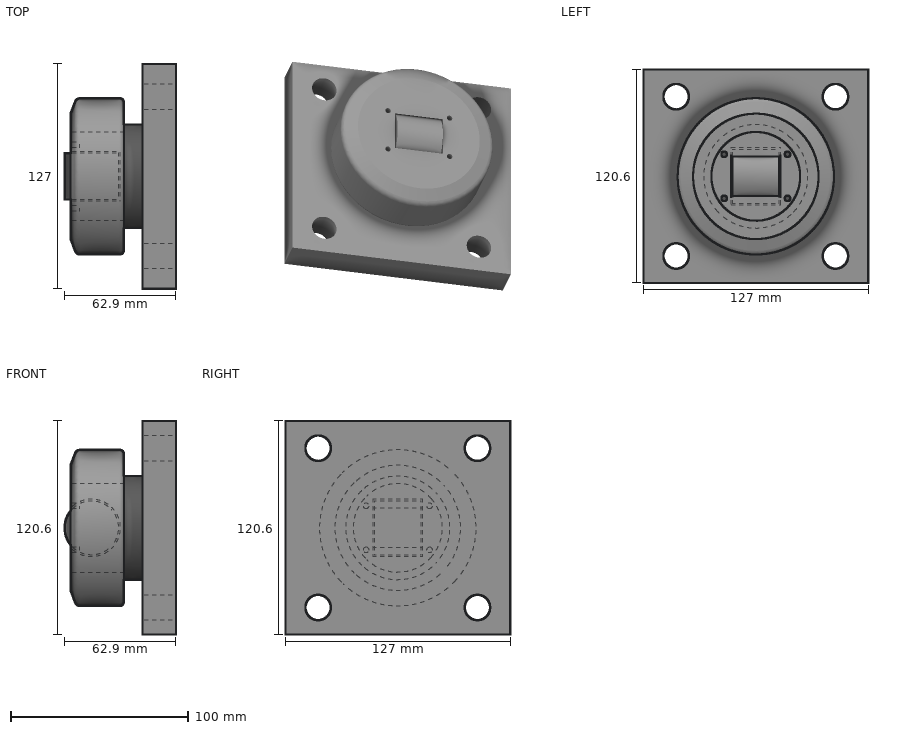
import cadquery as cq
import math

plate_thickness = 19.0
plate_width = 127.0
plate_height = 120.6
bolt_spacing = 89.9
bolt_hole_diameter = 14.2

stub_length = 10.4
stub_diameter = 58.7

wheel_diameter = 88.3
wheel_width = 30.1
wheel_bore = 50.2
wheel_face_diameter = 70.9
wheel_bevel_angle = 21.0
front_edge_radius = 3.0
back_edge_radius = 2.4

screw_spacing_y = 35.8
screw_spacing_z = 24.9
screw_hole_diameter = 3.2
screw_hole_depth = 5.1

roller_diameter = 30.5
roller_length = 26.3
roller_protrusion = 3.4
window_width = 28.0
window_height = 22.4

wheel_back_x = -stub_length
wheel_front_x = wheel_back_x - wheel_width
roller_axis_depth = roller_diameter / 2 - roller_protrusion
roller_axis_x = wheel_front_x + roller_axis_depth
pocket_radius = math.hypot(window_height / 2, roller_axis_depth)


def axial_cylinder(diameter, start_x, length):
    """Cylinder on the X axis, running from start_x toward +X."""
    return cq.Workplane("YZ", origin=(start_x, 0, 0)).circle(diameter / 2).extrude(length)


def cross_cylinder(radius, length):
    """Cylinder along Y on the roller axis, centred on Y = 0."""
    plane = cq.Workplane("XZ", origin=(roller_axis_x, length / 2, 0))
    return plane.circle(radius).extrude(length)


def make_plate():
    plate = cq.Workplane("YZ").rect(plate_width, plate_height).extrude(plate_thickness)
    holes = (
        cq.Workplane("YZ")
        .rect(bolt_spacing, bolt_spacing, forConstruction=True)
        .vertices()
        .circle(bolt_hole_diameter / 2)
        .extrude(plate_thickness)
    )
    return plate.cut(holes)


def make_stub():
    return axial_cylinder(stub_diameter, wheel_back_x, stub_length)


def make_wheel():
    outer_radius = wheel_diameter / 2
    face_radius = wheel_face_diameter / 2
    bevel_depth = (outer_radius - face_radius) * math.tan(math.radians(wheel_bevel_angle))
    bevel_end_x = wheel_front_x + bevel_depth
    profile = [
        (wheel_front_x, 0),
        (wheel_front_x, face_radius),
        (bevel_end_x, outer_radius),
        (wheel_back_x, outer_radius),
        (wheel_back_x, 0),
    ]
    wheel = cq.Workplane("XY").polyline(profile).close().revolve(360, (0, 0, 0), (1, 0, 0))
    front_edge = cq.selectors.NearestToPointSelector((bevel_end_x, 0, 0))
    wheel = wheel.edges("%CIRCLE").edges(front_edge).fillet(front_edge_radius)
    wheel = wheel.faces(">X").edges("%CIRCLE").fillet(back_edge_radius)
    return wheel.cut(axial_cylinder(wheel_bore, wheel_front_x, wheel_width))


def make_cap():
    cap = axial_cylinder(wheel_bore, wheel_front_x, wheel_width)
    screw_holes = (
        cq.Workplane("YZ", origin=(wheel_front_x, 0, 0))
        .rect(screw_spacing_y, screw_spacing_z, forConstruction=True)
        .vertices()
        .circle(screw_hole_diameter / 2)
        .extrude(screw_hole_depth)
    )
    pocket = cross_cylinder(pocket_radius, window_width)
    return cap.cut(screw_holes).cut(pocket)


def make_roller():
    return cross_cylinder(roller_diameter / 2, roller_length)


plate = make_plate()
stub = make_stub()
wheel = make_wheel()
cap = make_cap()
roller = make_roller()

result = cq.Compound.makeCompound([plate.val(), stub.val(), wheel.val(), cap.val(), roller.val()])